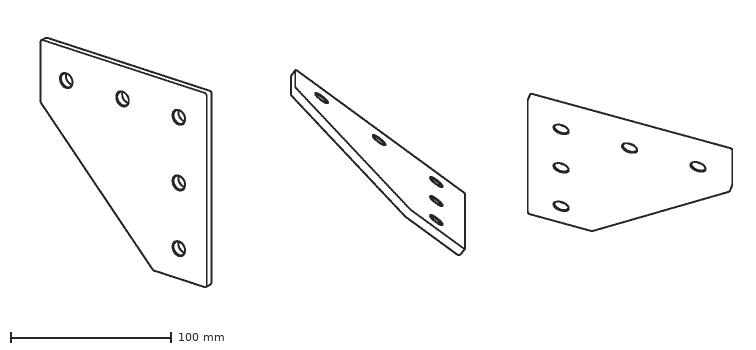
import cadquery as cq

side = 133.0
thickness = 6.0
end_width = 43.0
corner_radius = 2.0
edge_radius = 1.9
hole_diameter = 9.0
hole_chamfer = 0.5
hole_pitch = 45.0
hole_inset = 22.5

half = side / 2
row = half - hole_inset


def make_plate():
    """Square plate with one corner cut off at 45 degrees; front face at Y = 0."""
    outline = [
        (-half, half),
        (half, half),
        (half, -half),
        (half - end_width, -half),
        (-half, half - end_width),
    ]
    plate = cq.Workplane("XZ").polyline(outline).close().extrude(-thickness)
    plate = plate.edges("|Y").fillet(corner_radius)
    return plate.faces(">Y").edges().fillet(edge_radius)


def make_hole_cutter(x, z):
    """Through hole with a conical mouth in the front and back faces."""
    radius = hole_diameter / 2
    bore = cq.Workplane("XZ").center(x, z).circle(radius).extrude(-thickness)
    front_mouth = (
        cq.Workplane("XZ")
        .center(x, z)
        .circle(radius + hole_chamfer)
        .workplane(offset=-hole_chamfer)
        .circle(radius)
        .loft()
    )
    back_mouth = front_mouth.mirror("XZ", (0, thickness / 2, 0))
    return bore.union(front_mouth).union(back_mouth)


hole_places = [(row, row)]
for step in (1, 2):
    hole_places.append((row - step * hole_pitch, row))
    hole_places.append((row, row - step * hole_pitch))

result = make_plate()
for x, z in hole_places:
    result = result.cut(make_hole_cutter(x, z))